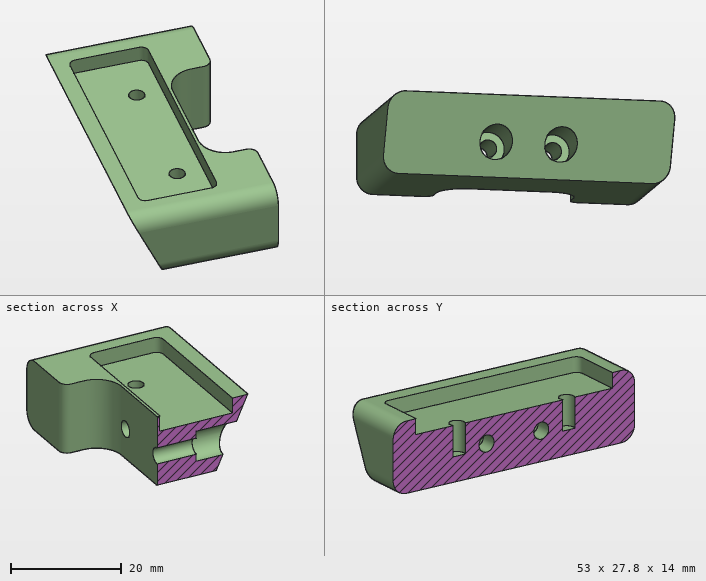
import cadquery as cq

length = 53.0
depth = 27.8
height = 14.0
edge_radius = 3.0
front_setback = 6.45

notch_width = 25.3
notch_depth = 9.15
notch_inner_radius = 5.1
notch_outer_radius = 1.7

pocket_length = 43.0
pocket_width = 14.85
pocket_front = 3.25
pocket_depth = 3.0
pocket_corner_radius = 1.4

floor_hole_diameter = 2.9
floor_hole_spacing = 24.0
floor_hole_y = 13.25
floor_hole_depth = 6.0

screw_hole_diameter = 3.2
counterbore_diameter = 6.0
screw_hole_spacing = 12.0
screw_hole_z = 6.0
counterbore_floor_y = 10.6


def make_body():
    """Block with rounded long edges and a front face that slopes back downwards."""
    side_profile = [(0, height), (depth, height), (depth, 0), (front_setback, 0)]
    wedge = cq.Workplane("YZ").polyline(side_profile).close().extrude(length / 2, both=True)
    rounded_bar = (
        cq.Workplane("XY")
        .box(length, depth, height, centered=(True, False, False))
        .edges("|Y")
        .fillet(edge_radius)
    )
    return wedge.intersect(rounded_bar)


def cut_notch(body):
    """Open the back and round the notch's inner and outer corners."""
    notch_floor_y = depth - notch_depth
    notch = (
        cq.Workplane("XY")
        .center(0, notch_floor_y + notch_depth / 2)
        .rect(notch_width, notch_depth)
        .extrude(height)
    )
    half_width = notch_width / 2
    inner_corners = cq.selectors.BoxSelector(
        (-length, notch_floor_y - 0.55, -0.55), (length, notch_floor_y + 0.55, height + 0.55)
    )
    outer_corners = cq.selectors.BoxSelector(
        (-half_width - 0.55, depth - 0.55, -0.55), (half_width + 0.55, depth + 0.55, height + 0.55)
    )
    notched = body.cut(notch.edges("|Z").edges(inner_corners).fillet(notch_inner_radius))
    return notched.edges("|Z").edges(outer_corners).fillet(notch_outer_radius)


def make_pocket():
    """Rounded rectangular pocket with two blind holes in its floor."""
    floor_z = height - pocket_depth
    pocket = (
        cq.Workplane("XY", origin=(0, pocket_front + pocket_width / 2, floor_z))
        .rect(pocket_length, pocket_width)
        .extrude(pocket_depth)
        .edges("|Z")
        .fillet(pocket_corner_radius)
    )
    holes = (
        cq.Workplane("XY", origin=(0, floor_hole_y, floor_z))
        .rarray(floor_hole_spacing, 0.55, 2, 1)
        .circle(floor_hole_diameter / 2)
        .extrude(-floor_hole_depth)
    )
    return pocket.union(holes)


def make_screw_holes():
    """Two horizontal through holes, counterbored from the sloping face."""

    def cylinders(diameter, end_y):
        return (
            cq.Workplane("XZ", origin=(0, 0, screw_hole_z))
            .rarray(screw_hole_spacing, 0.55, 2, 1)
            .circle(diameter / 2)
            .extrude(-end_y)
        )

    through_holes = cylinders(screw_hole_diameter, depth)
    counterbores = cylinders(counterbore_diameter, counterbore_floor_y)
    return through_holes.union(counterbores)


result = cut_notch(make_body()).cut(make_pocket()).cut(make_screw_holes())